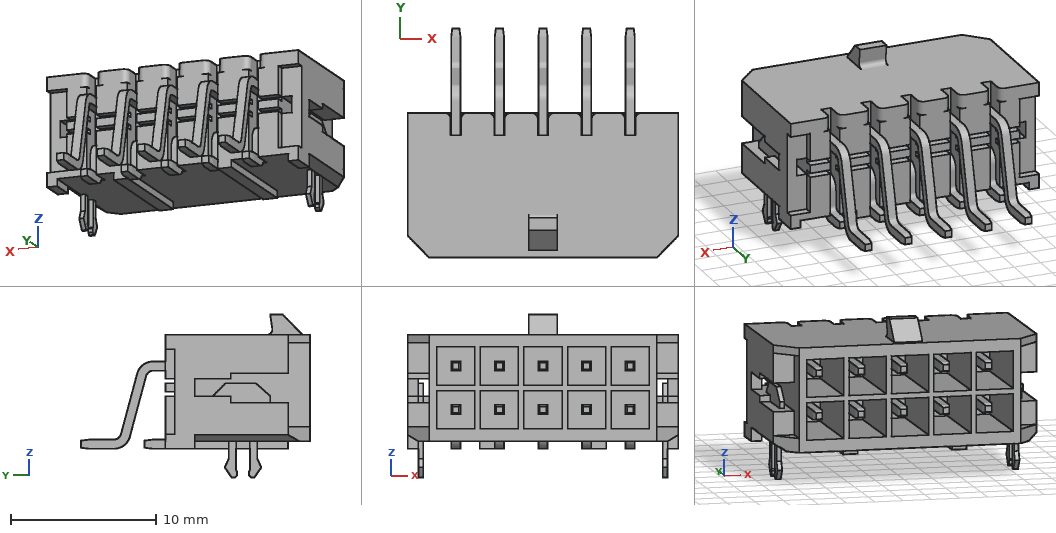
import cadquery as cq
import math


width = 18.65
core_width = 15.7
depth = 9.98
height = 7.35
half_width = width / 2
half_core = core_width / 2
flange_front = 1.51
top_lip = 0.56
bottom_lip = 1.0
foot_height = 0.52

columns = 5
pitch = 3.0
lower_row = 2.18
upper_row = lower_row + pitch
column_places = [(i - (columns - 1) / 2) * pitch for i in range(columns)]
cavity_size = 2.63
cavity_depth = 6.9

rear_slot_depth = 1.53
wire = 0.65
pin_tip_y = 1.86
pin_tip_size = 0.43
pin_tip_length = 0.37
tail_tip_size = 0.5
tail_tip_length = 0.58
tail_z = wire / 2 - foot_height
upper_tail_end = 15.8
lower_tail_end = 11.41
upper_bend_start = 10.82
upper_bend_radius = 0.82
upper_bend_angle = 75.0
lower_bend_start = depth - rear_slot_depth
lower_bend_radius = 0.63
lower_bend_angle = 90.0

rear_step = 0.63
rear_step_bottom = 0.5
rear_step_top = 6.36
rear_slot_width = 0.7
rear_slot_round = 0.45
rear_groove_height = 0.3

window_bottom = 3.11
window_top = 4.3
window_back = 7.95
wide_window_bottom = 2.67
wide_window_top = 4.68
wide_window_back = 5.46
clip_thickness = 0.34
clip_outer_x = 8.58
clip_front = 2.75
clip_back = 6.71
clip_top_front = 3.75
clip_top_back = 5.82
clip_top = 4.01
clip_middle = 4.63
leg_inner = 0.47
leg_outer = 0.99
barb_root = -1.2
barb_reach = 1.27
barb_tip = -1.79
leg_end = -2.5
toe_inner = 0.41
toe_outer = 0.78
toe_slant = 0.15
toe_top = -2.09
toe_root = -1.98

edge_chamfer_height = 0.45
corner_foot_front = window_back
inner_foot_x = 3.34
inner_foot_width = 1.03

latch_width = 2.0
latch_height = 1.4
latch_front = 0.52
latch_crest_front = 1.9
latch_crest_back = 2.76
latch_neck = 2.61
latch_root_round = 0.35


def box(x0, x1, y0, y1, z0, z1):
    """Block spanning the given limits along X, Y and Z."""
    return cq.Workplane("XY").box(x1 - x0, y1 - y0, z1 - z0, centered=False).translate((x0, y0, z0))


def both_sides(shape):
    """The shape together with its mirror image across X = 0."""
    return shape.union(shape.mirror("YZ"))


def make_shell():
    """Housing block with bevelled front corners, flange relief and underside feet."""
    shell = box(-half_width, half_width, 0, depth, 0, height)
    bevel = (
        cq.Workplane("XY")
        .polyline([(half_core, 0), (half_width, 0), (half_width, flange_front)])
        .close()
        .extrude(height)
    )
    relief = box(half_core, half_width, 0, flange_front, bottom_lip, height - top_lip)
    edge_chamfer = (
        cq.Workplane("XZ")
        .polyline([(clip_outer_x, 0), (half_width, 0), (half_width, edge_chamfer_height)])
        .close()
        .extrude(-corner_foot_front)
    )
    shell = shell.cut(both_sides(bevel)).cut(both_sides(relief)).cut(both_sides(edge_chamfer))

    corner_foot = box(clip_outer_x, half_width, corner_foot_front, depth, -foot_height, 0)
    inner_foot = box(inner_foot_x, inner_foot_x + inner_foot_width, flange_front, depth, -foot_height, 0)
    return shell.union(both_sides(corner_foot)).union(both_sides(inner_foot))


def cut_cavities(body):
    """One square cavity per pin, open at the mating face."""
    half = cavity_size / 2
    for x in column_places:
        for z in (lower_row, upper_row):
            body = body.cut(box(x - half, x + half, 0, cavity_depth, z - half, z + half))
    return body


def cut_side_windows(body):
    """Stepped windows in the flanges and the narrow passages leading on to the rear."""
    window = box(half_core, half_width, 0, window_back, window_bottom, window_top)
    wide_window = box(half_core, half_width, 0, wide_window_back, wide_window_bottom, wide_window_top)
    passage = box(half_core, clip_outer_x, 0, depth, window_bottom, window_top)
    return body.cut(both_sides(window.union(wide_window).union(passage)))


def cut_rear(body):
    """Side notches, two cross grooves and a terminal slot behind every column."""
    step_front = depth - rear_step
    notch = box(half_core, half_width, step_front, depth, rear_step_bottom, rear_step_top)
    body = body.cut(both_sides(notch))
    for z in (window_bottom, window_top - rear_groove_height):
        body = body.cut(box(-half_width, half_width, step_front, depth, z, z + rear_groove_height))

    half_slot = rear_slot_width / 2
    half_mouth = half_slot + rear_slot_round
    mouth_front = depth - rear_slot_round
    inset = rear_slot_round * (1 - math.sqrt(0.5))
    mouth = (
        cq.Workplane("XY", origin=(0, 0, rear_step_top))
        .moveTo(-half_mouth, depth)
        .threePointArc((-half_slot - inset, depth - inset), (-half_slot, mouth_front))
        .lineTo(half_slot, mouth_front)
        .threePointArc((half_slot + inset, depth - inset), (half_mouth, depth))
        .close()
        .extrude(height - rear_step_top)
    )
    slot = box(-half_slot, half_slot, depth - rear_slot_depth, depth, 0, height).union(mouth)
    for x in column_places:
        body = body.cut(slot.translate((x, 0, 0)))
    return body


def make_latch():
    """Ramped latch on the roof with an undercut rear face and a rounded root."""
    inset = latch_root_round * (1 - math.sqrt(0.5))
    return (
        cq.Workplane("YZ")
        .moveTo(latch_front, height)
        .lineTo(latch_crest_front, height + latch_height)
        .lineTo(latch_crest_back, height + latch_height)
        .lineTo(latch_neck, height + latch_root_round)
        .threePointArc((latch_neck + inset, height + inset), (latch_neck + latch_root_round, height))
        .close()
        .extrude(latch_width / 2, both=True)
    )


def make_tip(y_base, z, length, end_size):
    """Tapered square end; a negative length points toward the mating face."""
    return (
        cq.Workplane("XZ", origin=(0, y_base, z))
        .rect(wire, wire)
        .workplane(offset=-length)
        .rect(end_size, end_size)
        .loft()
    )


def make_terminal(row_z, bend_start, radius, angle, tail_end):
    """Square wire: straight pin, bend down by the angle, sloped run, bend back to level, tail."""
    sin_a = math.sin(math.radians(angle))
    cos_a = math.cos(math.radians(angle))
    sin_half = math.sin(math.radians(angle / 2))
    cos_half = math.cos(math.radians(angle / 2))
    bend_y = radius * sin_a
    bend_z = radius * (1 - cos_a)
    run_z = row_z - tail_z - 2 * bend_z
    run_y = run_z * cos_a / sin_a
    pin_base = pin_tip_y + pin_tip_length
    tail_base = tail_end - tail_tip_length
    run_start = (bend_start + bend_y, row_z - bend_z)
    run_end = (run_start[0] + run_y, run_start[1] - run_z)
    bend_end = run_end[0] + bend_y
    first_mid = (bend_start + radius * sin_half, row_z - radius * (1 - cos_half))
    second_mid = (bend_end - radius * sin_half, tail_z + radius * (1 - cos_half))
    path = (
        cq.Workplane("YZ")
        .moveTo(pin_base, row_z)
        .lineTo(bend_start, row_z)
        .threePointArc(first_mid, run_start)
        .lineTo(*run_end)
        .threePointArc(second_mid, (bend_end, tail_z))
        .lineTo(tail_base, tail_z)
    )
    terminal = cq.Workplane("XZ", origin=(0, pin_base, row_z)).rect(wire, wire).sweep(path)
    pin_tip = make_tip(pin_base, row_z, -pin_tip_length, pin_tip_size)
    tail_tip = make_tip(tail_base, tail_z, tail_tip_length, tail_tip_size)
    return terminal.union(pin_tip).union(tail_tip)


def make_clip():
    """Sheet-metal clip: a trapezoid plate in the flange with two barbed legs below it."""
    plate_outline = [
        (clip_front, wide_window_bottom),
        (clip_front, window_bottom),
        (clip_top_front, clip_top),
        (clip_top_back, clip_top),
        (clip_back, window_bottom),
        (clip_back, wide_window_bottom),
    ]
    leg_outline = [
        (leg_inner, 0),
        (leg_outer, 0),
        (leg_outer, barb_root),
        (barb_reach, barb_tip),
        (toe_outer, leg_end),
        (toe_inner + toe_slant, leg_end),
        (toe_inner, leg_end + toe_slant),
        (toe_inner, toe_top),
        (leg_inner, toe_root),
    ]
    clip = cq.Workplane("YZ").polyline(plate_outline).close().extrude(clip_thickness)
    for side in (-1, 1):
        points = [(clip_middle + side * y, z) for y, z in leg_outline]
        clip = clip.union(cq.Workplane("YZ").polyline(points).close().extrude(clip_thickness))
    return clip.translate((clip_outer_x - clip_thickness, 0, 0))


body = cut_rear(cut_side_windows(cut_cavities(make_shell())))
body = body.union(make_latch()).union(both_sides(make_clip()))

upper_terminal = make_terminal(
    upper_row, upper_bend_start, upper_bend_radius, upper_bend_angle, upper_tail_end
)
lower_terminal = make_terminal(
    lower_row, lower_bend_start, lower_bend_radius, lower_bend_angle, lower_tail_end
)
for x in column_places:
    body = body.union(upper_terminal.translate((x, 0, 0)))
    body = body.union(lower_terminal.translate((x, 0, 0)))

result = body